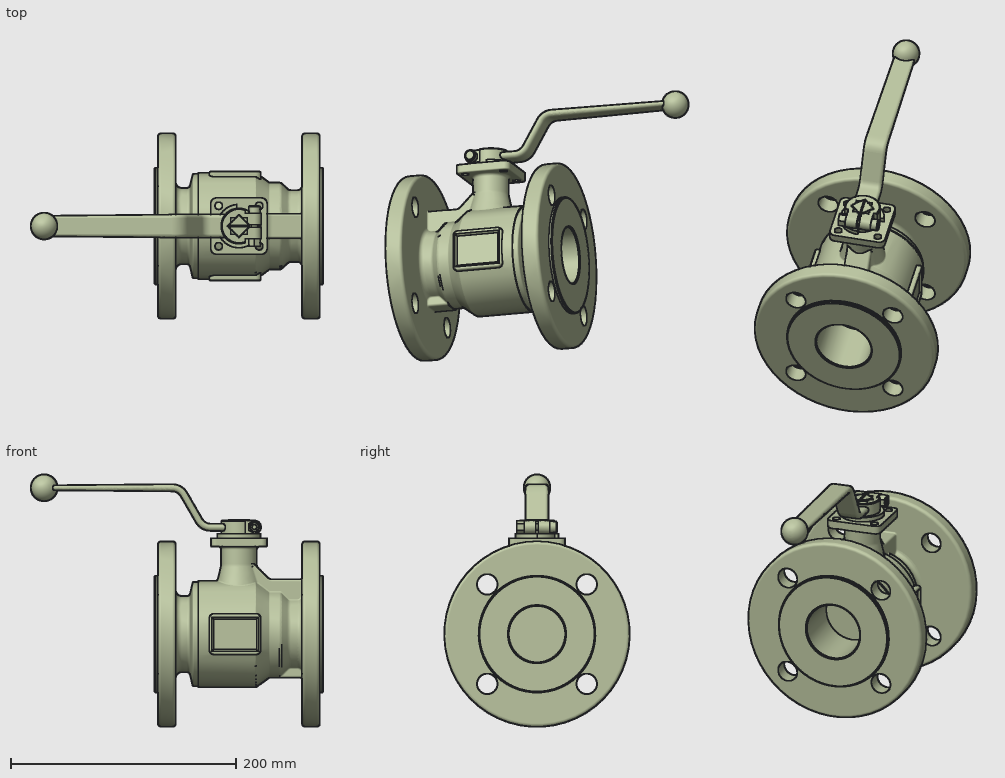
import cadquery as cq
import math


FACE_TO_FACE = 150.0
FLANGE_DIA = 165.0
FLANGE_THICKNESS = 16.0
FLANGE_ROUND = 3.0
RAISED_FACE_DIA = 104.0
RAISED_FACE_HEIGHT = 3.0
RAISED_FACE_CHAMFER = 1.0
BOLT_CIRCLE_DIA = 125.0
BOLT_HOLE_DIA = 18.0
BOLT_HOLE_COUNT = 4

END_X = FACE_TO_FACE / 2
FLANGE_OUTER_X = END_X - RAISED_FACE_HEIGHT
FLANGE_INNER_X = FLANGE_OUTER_X - FLANGE_THICKNESS

BORE_DIA = 50.0
BORE_DEPTH = 50.0
BORE_CHAMFER = 1.0

BARREL_DIA = 95.0
BARREL_LEFT_X = -36.0
BARREL_RIGHT_X = 15.0
SHOULDER_DIA = 93.0
SHOULDER_X = -41.0
LEFT_NECK_DIA = 68.0
LEFT_NECK_END_X = -44.0
LEFT_NECK_ROUND = 5.0
LEFT_NECK_END_ROUND = 2.7
COLLAR_DIA = 77.5
COLLAR_LEFT_X = 27.0
COLLAR_RIGHT_X = 37.2
COLLAR_RIGHT_ROUND = 3.0
RIGHT_NECK_DIA = 64.0
RIGHT_NECK_START_X = 44.5
RIGHT_NECK_ROUND = 4.0
STEP_ROUND = 1.5

STEM_NECK_DIA = 32.0
STEM_TAPER_TOP_Z = 61.0
STEM_TAPER_ROUND = 10.0
STEM_PAD_ROUND = 2.5
STEM_TAPER_BASE_Z = 40.0
STEM_TAPER_BASE_DIA = 42.0

PAD_SIZE = 50.0
PAD_BOTTOM_Z = 77.7
PAD_TOP_Z = 85.3
PAD_CORNER_RADIUS = 5.0
PAD_LOWER_ROUND = 1.2
PAD_HOLE_DIA = 6.6
PAD_HOLE_SPACING = 36.0
STOP_DISC_DIA = 38.6
STOP_DISC_TOP_Z = 89.3
STOP_NOTCH_START_X = -2.0

HUB_DIA = 31.6
HUB_TOP_Z = 101.0
HUB_EDGE_CHAMFER = 0.8
EAR_WIDTH = 23.0
EAR_START_X = 5.5
EAR_SLIT = 2.2
STAR_SQUARE = 14.4
STEM_SQUARE = 14.0
STEM_DIA = 18.0
STEM_TOP_Z = 101.6
STEM_SLOT_WIDTH = 1.0
STEM_SLOT_DEPTH = 1.0

SCREW_X = 13.8
SCREW_Z = 95.1
SCREW_DIA = 6.0
SCREW_HEAD_DIA = 10.0
SCREW_END_Y = 18.0
SCREW_HEAD_CHAMFER = 1.0
NUT_ACROSS_FLATS = 10.0
NUT_RECESS_DIA = 7.8
NUT_RECESS_DEPTH = 1.0
NUT_TURN = 30.0
SOCKET_ACROSS_FLATS = 4.0
SOCKET_DEPTH = 2.9
EAR_END_RADIUS = HUB_TOP_Z - SCREW_Z

BAR_WIDTH = 20.6
BAR_THICKNESS = 6.6
BAR_TIP_WIDTH = 18.5
BAR_TIP_THICKNESS = 4.6
BAR_LOW_Z = 94.9
BAR_HIGH_Z = 130.0
CRANK_ANGLE = 60.0
CRANK_BEND_RADIUS = 12.0
CRANK_LOW_X = -32.0
BAR_INNER_X = -11.0
KNOB_DIA = 24.0
KNOB_X = -173.0

LABEL_X = -3.4
LABEL_LENGTH = 46.0
LABEL_HEIGHT = 36.4
LABEL_CORNER_RADIUS = 4.5
LABEL_FACE_Y = 48.5
LABEL_RIM_ROUND = 1.8
LABEL_RECESS_DEPTH = 1.8
LABEL_PANEL_LENGTH = 38.2
LABEL_PANEL_HEIGHT = 26.8
LABEL_RECESS_TAPER = 45.0

RIB_WIDTH = 22.0
RIB_TOP_Z = 48.8
RIB_SLOPE_START_X = 13.5
RIB_SLOPE_END_X = 27.2
RIB_EDGE_ROUND = 2.0
RIB_CREST_ROUND = 6.0
LOWER_RIB_START_X = 36.5
CASTING_FILLET = 1.5

PICK_MARGIN = 0.2


def rounded_outline(corners):
    """Closed XZ wire through (x, z, radius) corners, each rounded by a tangent arc."""
    def toward(start, end, distance):
        length = math.dist(start[:2], end[:2])
        return tuple(s + (e - s) * distance / length for s, e in zip(start[:2], end[:2]))

    outline = None
    for index, corner in enumerate(corners):
        before = corners[index - 1]
        after = corners[(index + 1) % len(corners)]
        point, radius = corner[:2], corner[2]
        if radius == 0:
            outline = outline.lineTo(*point) if outline else cq.Workplane("XZ").moveTo(*point)
            continue
        angle_in = math.atan2(before[1] - point[1], before[0] - point[0])
        angle_out = math.atan2(after[1] - point[1], after[0] - point[0])
        half_angle = abs(math.remainder(angle_out - angle_in, math.tau)) / 2
        setback = radius / math.tan(half_angle)
        arc_start = toward(point, before, setback)
        arc_end = toward(point, after, setback)
        chord_middle = tuple((s + e) / 2 for s, e in zip(arc_start, arc_end))
        arc_middle = toward(point, chord_middle, radius / math.sin(half_angle) - radius)
        outline = outline.lineTo(*arc_start).threePointArc(arc_middle, arc_end)
    return outline.close()


def cylinder_z(diameter, bottom, top):
    return cq.Workplane("XY").workplane(offset=bottom).circle(diameter / 2).extrude(top - bottom)


def square_z(side, bottom, top, angle=0):
    prism = cq.Workplane("XY").workplane(offset=bottom).rect(side, side).extrude(top - bottom)
    return prism.rotate((0, 0, 0), (0, 0, 1), angle)


def box_from(corner_x, bottom, length, width, height):
    """Box starting at corner_x and bottom, centred across the pipe axis."""
    block = cq.Workplane("XY").box(length, width, height, centered=(False, True, False))
    return block.translate((corner_x, 0, bottom))


def hexagon_corner_dia(across_flats):
    return across_flats / math.cos(math.pi / 6)


def screw_section(start_y):
    """Workplane on the clamp screw axis whose extrusions run toward +Y."""
    return cq.Workplane("XZ", origin=(SCREW_X, start_y, SCREW_Z)).transformed(rotate=(180, 0, 0))


def flanged_end(side):
    """Profile corners of one flange from pipe axis to neck; side is -1 or +1 along X."""
    chamfer = RAISED_FACE_CHAMFER
    face_radius = RAISED_FACE_DIA / 2
    return [
        (side * END_X, 0, 0),
        (side * END_X, face_radius - chamfer, 0),
        (side * (END_X - chamfer), face_radius, 0),
        (side * FLANGE_OUTER_X, face_radius, 0),
        (side * FLANGE_OUTER_X, FLANGE_DIA / 2, FLANGE_ROUND),
        (side * FLANGE_INNER_X, FLANGE_DIA / 2, FLANGE_ROUND),
    ]


def turned_body():
    middle = [
        (-FLANGE_INNER_X, LEFT_NECK_DIA / 2, LEFT_NECK_ROUND),
        (LEFT_NECK_END_X, LEFT_NECK_DIA / 2, LEFT_NECK_END_ROUND),
        (SHOULDER_X, SHOULDER_DIA / 2, STEP_ROUND),
        (BARREL_LEFT_X, SHOULDER_DIA / 2, 0),
        (BARREL_LEFT_X, BARREL_DIA / 2, 0),
        (BARREL_RIGHT_X, BARREL_DIA / 2, STEP_ROUND),
        (COLLAR_LEFT_X, COLLAR_DIA / 2, STEP_ROUND),
        (COLLAR_RIGHT_X, COLLAR_DIA / 2, COLLAR_RIGHT_ROUND),
        (RIGHT_NECK_START_X, RIGHT_NECK_DIA / 2, RIGHT_NECK_ROUND),
        (FLANGE_INNER_X, RIGHT_NECK_DIA / 2, RIGHT_NECK_ROUND),
    ]
    corners = flanged_end(-1) + middle + flanged_end(1)[::-1]
    return rounded_outline(corners).revolve(360, (0, 0, 0), (1, 0, 0))


def bores():
    """Blind bores from both ends, each with a chamfered mouth."""
    radius = BORE_DIA / 2
    profile = [
        (END_X, 0),
        (END_X, radius + BORE_CHAMFER),
        (END_X - BORE_CHAMFER, radius),
        (END_X - BORE_DEPTH, radius),
        (END_X - BORE_DEPTH, 0),
    ]
    right = cq.Workplane("XZ").polyline(profile).close().revolve(360, (0, 0, 0), (1, 0, 0))
    return right.union(right.mirror("YZ"))


def bolt_holes():
    return (
        cq.Workplane("YZ").workplane(offset=-END_X)
        .polarArray(BOLT_CIRCLE_DIA / 2, 180 / BOLT_HOLE_COUNT, 360, BOLT_HOLE_COUNT)
        .circle(BOLT_HOLE_DIA / 2).extrude(FACE_TO_FACE)
    )


def stem_neck():
    """Neck from inside the barrel up to the pad, flared where it meets the pad."""
    radius = STEM_NECK_DIA / 2
    corners = [
        (0, PAD_BOTTOM_Z, 0),
        (0, 0, 0),
        (STEM_TAPER_BASE_DIA / 2, 0, 0),
        (STEM_TAPER_BASE_DIA / 2, STEM_TAPER_BASE_Z, 0),
        (radius, STEM_TAPER_TOP_Z, STEM_TAPER_ROUND),
        (radius, PAD_BOTTOM_Z, STEM_PAD_ROUND),
        (radius + 2 * STEM_PAD_ROUND, PAD_BOTTOM_Z, 0),
    ]
    return rounded_outline(corners).revolve(360, (0, 0, 0), (0, 1, 0))


def upper_rib():
    slope_start_z = RIB_TOP_Z + RIB_SLOPE_END_X - RIB_SLOPE_START_X
    rib_end_x = FLANGE_INNER_X + FLANGE_THICKNESS / 2
    corners = [
        (0, 0, 0),
        (0, slope_start_z, 0),
        (RIB_SLOPE_START_X, slope_start_z, 0),
        (RIB_SLOPE_END_X, RIB_TOP_Z, RIB_CREST_ROUND),
        (rib_end_x, RIB_TOP_Z, 0),
        (rib_end_x, 0, 0),
    ]
    rib = rounded_outline(corners).extrude(RIB_WIDTH / 2, both=True)
    crest_start = (RIB_SLOPE_START_X, -RIB_WIDTH, RIB_TOP_Z - PICK_MARGIN)
    crest_end = (FLANGE_OUTER_X, RIB_WIDTH, slope_start_z + PICK_MARGIN)
    crest = cq.selectors.BoxSelector(crest_start, crest_end)
    side_edges = rib.edges(crest - cq.selectors.ParallelDirSelector(cq.Vector(0, 1, 0)))
    return side_edges.fillet(RIB_EDGE_ROUND)


def lower_rib():
    length = FLANGE_INNER_X - LOWER_RIB_START_X
    depth = COLLAR_DIA / 2
    rib = box_from(LOWER_RIB_START_X, -depth, length, RIB_WIDTH, depth)
    return rib.edges("|X and <Z").fillet(RIB_EDGE_ROUND)


def label_plates():
    plate = (
        cq.Workplane("XZ", origin=(LABEL_X, 0, 0))
        .rect(LABEL_LENGTH, LABEL_HEIGHT).extrude(LABEL_FACE_Y)
        .edges("|Y").fillet(LABEL_CORNER_RADIUS)
        .faces("<Y").edges().fillet(LABEL_RIM_ROUND)
    )
    return plate.union(plate.mirror("XZ"))


def label_recesses():
    """Flat panels sunk into both plates and the barrel behind them, with sloped sides."""
    spread = 2 * LABEL_RECESS_DEPTH * math.tan(math.radians(LABEL_RECESS_TAPER))
    recess = (
        cq.Workplane("XZ", origin=(LABEL_X, LABEL_RECESS_DEPTH - LABEL_FACE_Y, 0))
        .rect(LABEL_PANEL_LENGTH, LABEL_PANEL_HEIGHT)
        .workplane(offset=LABEL_RECESS_DEPTH)
        .rect(LABEL_PANEL_LENGTH + spread, LABEL_PANEL_HEIGHT + spread)
        .loft()
    )
    return recess.union(recess.mirror("XZ"))


def mounting_pad():
    return (
        square_z(PAD_SIZE, PAD_BOTTOM_Z, PAD_TOP_Z)
        .edges("|Z").fillet(PAD_CORNER_RADIUS)
        .faces("<Z").edges().fillet(PAD_LOWER_ROUND)
        .faces(">Z").workplane().rarray(PAD_HOLE_SPACING, PAD_HOLE_SPACING, 2, 2).hole(PAD_HOLE_DIA)
    )


def stop_disc():
    """Disc under the hub with its +X, +Y part set back to the hub diameter."""
    height = STOP_DISC_TOP_Z - PAD_TOP_Z
    notch = cq.Workplane("XY").box(STOP_DISC_DIA, STOP_DISC_DIA, height, centered=False)
    notch = notch.translate((STOP_NOTCH_START_X, 0, PAD_TOP_Z))
    disc = cylinder_z(STOP_DISC_DIA, PAD_TOP_Z, STOP_DISC_TOP_Z)
    return disc.cut(notch).union(cylinder_z(HUB_DIA, PAD_TOP_Z, STOP_DISC_TOP_Z))


def hub():
    """Round hub with two clamp ears, a slit between them and an eight-pointed stem hole."""
    bottom = STOP_DISC_TOP_Z
    height = HUB_TOP_Z - bottom
    round_part = cylinder_z(HUB_DIA, bottom, HUB_TOP_Z).faces(">Z").chamfer(HUB_EDGE_CHAMFER)
    round_part = round_part.cut(box_from(EAR_START_X, bottom, HUB_DIA, HUB_DIA, height))
    ears = box_from(0, bottom, SCREW_X, EAR_WIDTH, height)
    ear_ends = screw_section(-EAR_WIDTH / 2).circle(EAR_END_RADIUS).extrude(EAR_WIDTH)
    slit = box_from(0, bottom, SCREW_X + EAR_END_RADIUS, EAR_SLIT, height)
    clamp = round_part.union(ears).union(ear_ends).cut(slit)
    for angle in (0, 45):
        clamp = clamp.cut(square_z(STAR_SQUARE, bottom, HUB_TOP_Z, angle))
    return clamp


def stem():
    """Square stem end with rounded corners and a slot along the pipe axis."""
    square = square_z(STEM_SQUARE, PAD_TOP_Z, STEM_TOP_Z, 45)
    slot_bottom = STEM_TOP_Z - STEM_SLOT_DEPTH
    slot = box_from(-STEM_DIA / 2, slot_bottom, STEM_DIA, STEM_SLOT_WIDTH, STEM_SLOT_DEPTH)
    return square.intersect(cylinder_z(STEM_DIA, PAD_TOP_Z, STEM_TOP_Z)).cut(slot)


def clamp_screw():
    """Round head on the +Y ear, shank through both ears, socketed hexagon on the -Y ear."""
    ear_y = EAR_WIDTH / 2
    head_length = SCREW_END_Y - ear_y
    shank_start_y = NUT_RECESS_DEPTH - SCREW_END_Y
    shank = screw_section(shank_start_y).circle(SCREW_DIA / 2).extrude(ear_y - shank_start_y)
    head = screw_section(ear_y).circle(SCREW_HEAD_DIA / 2).extrude(head_length)
    head = head.faces(">Y").chamfer(SCREW_HEAD_CHAMFER)
    nut_section = screw_section(-SCREW_END_Y).transformed(rotate=(0, 0, NUT_TURN))
    nut = nut_section.polygon(6, hexagon_corner_dia(NUT_ACROSS_FLATS)).extrude(head_length)
    recess = screw_section(-SCREW_END_Y).circle(NUT_RECESS_DIA / 2).extrude(NUT_RECESS_DEPTH)
    socket = (
        screw_section(-SCREW_END_Y)
        .polygon(6, hexagon_corner_dia(SOCKET_ACROSS_FLATS)).extrude(SOCKET_DEPTH)
    )
    return shank.union(head).union(nut.cut(recess)).cut(socket)


def handle():
    rise = BAR_HIGH_Z - BAR_LOW_Z
    angle = math.radians(CRANK_ANGLE)
    setback = CRANK_BEND_RADIUS * math.tan(angle / 2)
    high_corner_x = CRANK_LOW_X - rise / math.tan(angle)
    bend_rise = setback * math.sin(angle)
    bend_run = setback * math.cos(angle)
    bend_end_x = high_corner_x - setback
    path = (
        cq.Workplane("XZ")
        .moveTo(BAR_INNER_X, BAR_LOW_Z)
        .lineTo(CRANK_LOW_X + setback, BAR_LOW_Z)
        .tangentArcPoint((CRANK_LOW_X - bend_run, BAR_LOW_Z + bend_rise), relative=False)
        .lineTo(high_corner_x + bend_run, BAR_HIGH_Z - bend_rise)
        .tangentArcPoint((bend_end_x, BAR_HIGH_Z), relative=False)
    )
    crank = (
        cq.Workplane("YZ", origin=(BAR_INNER_X, 0, BAR_LOW_Z))
        .slot2D(BAR_WIDTH, BAR_THICKNESS).sweep(path)
    )
    arm = (
        cq.Workplane("YZ", origin=(bend_end_x, 0, BAR_HIGH_Z))
        .slot2D(BAR_WIDTH, BAR_THICKNESS)
        .workplane(offset=KNOB_X - bend_end_x)
        .slot2D(BAR_TIP_WIDTH, BAR_TIP_THICKNESS)
        .loft()
    )
    knob = cq.Workplane("XY").sphere(KNOB_DIA / 2).translate((KNOB_X, 0, BAR_HIGH_Z))
    return crank.union(arm).union(knob)


def rib_flank_edges(low_corner, high_corner):
    """Selector for edges on both rib flanks between two (x, z) corners."""
    (x_low, z_low), (x_high, z_high) = low_corner, high_corner

    def flank(y):
        low = (x_low, y - PICK_MARGIN, z_low)
        high = (x_high, y + PICK_MARGIN, z_high)
        return cq.selectors.BoxSelector(low, high)

    return flank(-RIB_WIDTH / 2) + flank(RIB_WIDTH / 2)


def casting():
    """Turned body with the stem neck and ribs, blended where they meet."""
    blank = turned_body().union(stem_neck()).union(upper_rib()).union(lower_rib())
    reach = STEM_TAPER_BASE_DIA / 2
    barrel_top_z = BARREL_DIA / 2 + PICK_MARGIN
    rib_side_top_z = RIB_TOP_Z - RIB_EDGE_ROUND - PICK_MARGIN
    flange_x = FLANGE_INNER_X + PICK_MARGIN
    collar_end_x = COLLAR_RIGHT_X + PICK_MARGIN
    stem_foot = cq.selectors.BoxSelector(
        (-reach, -reach, STEM_TAPER_BASE_Z), (reach, reach, barrel_top_z)
    )
    stem_to_rib = rib_flank_edges((0, RIB_TOP_Z), (RIB_SLOPE_START_X, STEM_TAPER_TOP_Z))
    upper_foot = rib_flank_edges((BARREL_RIGHT_X, 0), (flange_x, rib_side_top_z))
    lower_foot = rib_flank_edges((collar_end_x, PICK_MARGIN - COLLAR_DIA / 2), (flange_x, 0))
    return blank.edges(stem_foot + stem_to_rib + upper_foot + lower_foot).fillet(CASTING_FILLET)


body = casting()
for feature in (label_plates(), mounting_pad(), stop_disc()):
    body = body.union(feature)
body = body.cut(bolt_holes()).cut(bores()).cut(label_recesses())
for feature in (hub(), stem(), clamp_screw(), handle()):
    body = body.union(feature)

result = body